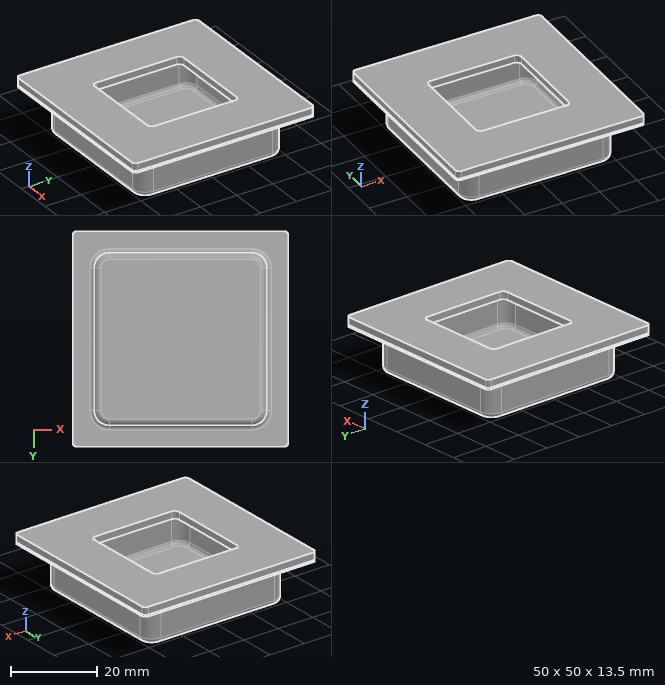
import cadquery as cq

plate_side = 50.0
plate_corner_radius = 1.0

cover_thickness = 2.0
window_side = 24.65
window_corner_radius = 1.25

overall_height = 13.5
wall = 0.5
tray_side = 40.0
tray_corner_radius = 3.5
tray_bottom_radius = 1.5
flange_fillet_radius = 1.0

cover_bottom = overall_height - cover_thickness
flange_bottom = cover_bottom - wall


def rounded_square(side, corner_radius, bottom, top):
    """Upright square block with rounded vertical edges, centred on Z."""
    return (
        cq.Workplane("XY")
        .workplane(offset=bottom)
        .rect(side, side)
        .extrude(top - bottom)
        .edges("|Z")
        .fillet(corner_radius)
    )


def make_cover():
    """Flat plate with a rounded square window through it."""
    plate = rounded_square(plate_side, plate_corner_radius, cover_bottom, overall_height)
    window = rounded_square(window_side, window_corner_radius, cover_bottom, overall_height)
    return plate.cut(window)


def make_tray():
    """Open tray of even wall thickness, with a flange around its rim."""
    shell = rounded_square(tray_side, tray_corner_radius, 0, cover_bottom)
    shell = shell.faces("<Z").edges().fillet(tray_bottom_radius)

    flange = rounded_square(plate_side, plate_corner_radius, flange_bottom, cover_bottom)
    tray = shell.union(flange)

    reach = (tray_side + plate_side) / 4
    below = flange_bottom - wall / 2
    above = flange_bottom + wall / 2
    wall_top = cq.selectors.BoxSelector((-reach, -reach, below), (reach, reach, above), boundingbox=True)
    tray = tray.edges(wall_top).fillet(flange_fillet_radius)

    pocket = rounded_square(tray_side - 2 * wall, tray_corner_radius - wall, wall, cover_bottom)
    pocket = pocket.faces("<Z").edges().fillet(tray_bottom_radius - wall)
    return tray.cut(pocket)


cover = make_cover()
tray = make_tray()

result = cq.Compound.makeCompound([cover.val(), tray.val()])